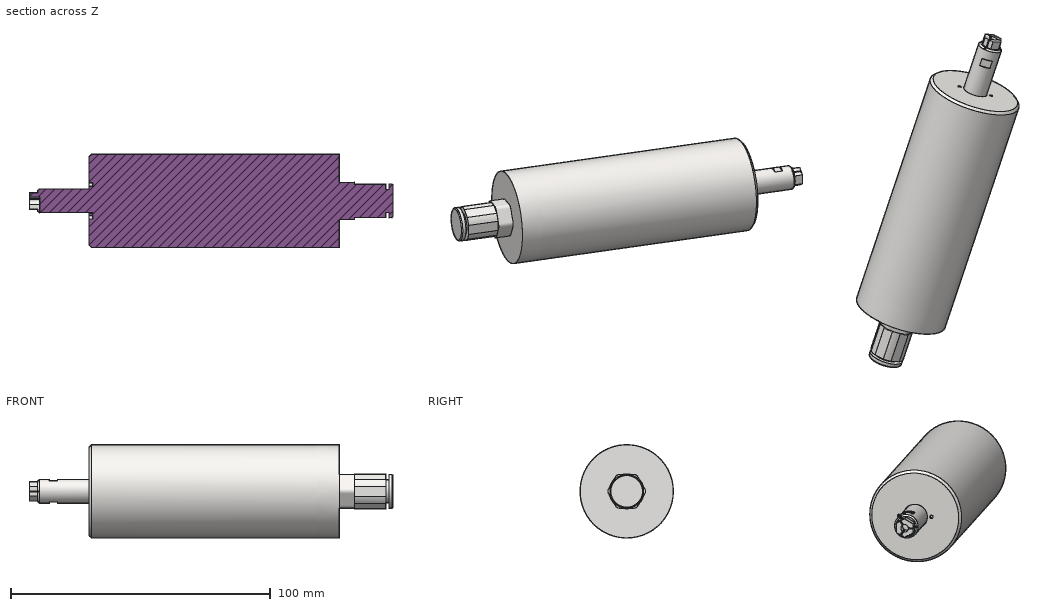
import cadquery as cq

SHAFT_START = 3.2
BODY_START = 23.0
CAP_START = 110.9
BODY_END = 119.5
NUT_END = 125.3
GRIP_END = 137.4
COLLAR_START = 138.5
TOTAL_LENGTH = 140.2

BODY_DIAMETER = 36.0
BODY_CHAMFER = 1.0
INSERT_DIAMETER = 16.7
INSERT_DEPTH = 4.2
SPANNER_HOLE_DIAMETER = 1.3
SPANNER_HOLE_DEPTH = 1.4
SPANNER_HOLE_OFFSET = 6.3
SHAFT_HOLE_DIAMETER = 9.5
SHAFT_HOLE_DEPTH = 1.4

SHAFT_DIAMETER = 9.3
SHAFT_TIP_DIAMETER = 8.0
SHAFT_TIP_LENGTH = 0.7
WRENCH_FLAT_START = 7.7
WRENCH_FLAT_LENGTH = 3.1
WRENCH_FLAT_GAP = 8.3

COLLET_ACROSS_FLATS = 6.5
COLLET_BORE_DIAMETER = 3.0
COLLET_SLIT_WIDTH = 0.4
COLLET_CUT_DEPTH = SHAFT_START + SHAFT_TIP_LENGTH
SLIT_COUNT = 3

NUT_ACROSS_FLATS = 13.0
NUT_CORNER_RADIUS = 1.8
GRIP_ACROSS_FLATS = 12.9
GRIP_DIAMETER = 13.5
NECK_DIAMETER = 9.0
COLLAR_DIAMETER = 13.0
COLLAR_CHAMFER = 0.4

HEX_SIDES = 6
HEX_CORNER_RATIO = 2 / 3 ** 0.5


def cylinder(start, end, diameter):
    """Round bar along X."""
    return cq.Workplane("YZ", origin=(start, 0, 0)).circle(diameter / 2).extrude(end - start)


def turn(shape, angle):
    """Turn a shape about the X axis."""
    return shape.rotate((0, 0, 0), (1, 0, 0), angle)


def hexagon(start, end, across_flats):
    """Hexagonal bar along X with two flats facing up and down."""
    plane = cq.Workplane("YZ", origin=(start, 0, 0))
    return plane.polygon(HEX_SIDES, across_flats * HEX_CORNER_RATIO).extrude(end - start)


def upright_hexagon(start, end, across_flats):
    """Hexagonal bar along X with two flats facing the sides."""
    return turn(hexagon(start, end, across_flats), 90)


def make_insert():
    """Flush front insert with two spanner holes and a clearance hole for the shaft."""
    insert = cylinder(BODY_START, BODY_START + INSERT_DEPTH, INSERT_DIAMETER)
    for side in (-1, 1):
        hole = cylinder(BODY_START, BODY_START + SPANNER_HOLE_DEPTH, SPANNER_HOLE_DIAMETER)
        insert = insert.cut(hole.translate((0, side * SPANNER_HOLE_OFFSET, 0)))
    return insert.cut(cylinder(BODY_START, BODY_START + SHAFT_HOLE_DEPTH, SHAFT_HOLE_DIAMETER))


def make_body():
    """Housing, rear cap and front insert; clean=False keeps the seams between them."""
    housing = cylinder(BODY_START, CAP_START, BODY_DIAMETER).faces("<X").chamfer(BODY_CHAMFER)
    housing = housing.cut(cylinder(BODY_START, BODY_START + INSERT_DEPTH, INSERT_DIAMETER))
    cap = cylinder(CAP_START, BODY_END, BODY_DIAMETER)
    return housing.union(cap, clean=False).union(make_insert(), clean=False)


def make_shaft():
    """Shaft with a conical tip and two wrench flats facing up and down."""
    cone = (
        cq.Workplane("YZ", origin=(SHAFT_START, 0, 0))
        .circle(SHAFT_TIP_DIAMETER / 2)
        .workplane(offset=SHAFT_TIP_LENGTH)
        .circle(SHAFT_DIAMETER / 2)
        .loft()
    )
    bar = cylinder(SHAFT_START + SHAFT_TIP_LENGTH, BODY_START + SHAFT_HOLE_DEPTH, SHAFT_DIAMETER)
    shaft = cone.union(bar)
    notch = cq.Workplane("XY").box(WRENCH_FLAT_LENGTH, SHAFT_DIAMETER, SHAFT_DIAMETER)
    notch_x = WRENCH_FLAT_START + WRENCH_FLAT_LENGTH / 2
    notch_z = (WRENCH_FLAT_GAP + SHAFT_DIAMETER) / 2
    for side in (-1, 1):
        shaft = shaft.cut(notch.translate((notch_x, 0, side * notch_z)))
    return shaft


def make_collet_cuts():
    """Central bore and radial slits, one of them pointing to -Y."""
    cuts = cylinder(0, COLLET_CUT_DEPTH, COLLET_BORE_DIAMETER)
    slit_length = SHAFT_DIAMETER / 2
    slit = cq.Workplane("XY").box(COLLET_CUT_DEPTH, slit_length, COLLET_SLIT_WIDTH)
    slit = slit.translate((COLLET_CUT_DEPTH / 2, -slit_length / 2, 0))
    for index in range(SLIT_COUNT):
        cuts = cuts.union(turn(slit, index * 360 / SLIT_COUNT))
    return cuts


def make_spindle():
    """Shaft with the slotted hexagonal collet nose on its end."""
    nose = upright_hexagon(0, SHAFT_START, COLLET_ACROSS_FLATS)
    return make_shaft().union(nose).cut(make_collet_cuts())


def make_fitting():
    """Nut with rounded corners, hexagonal grip turned to a round, neck and release collar."""
    nut = hexagon(BODY_END, NUT_END, NUT_ACROSS_FLATS).edges("|X").fillet(NUT_CORNER_RADIUS)
    grip = upright_hexagon(NUT_END, GRIP_END, GRIP_ACROSS_FLATS)
    grip = grip.intersect(cylinder(NUT_END, GRIP_END, GRIP_DIAMETER))
    neck = cylinder(GRIP_END, COLLAR_START, NECK_DIAMETER)
    collar = cylinder(COLLAR_START, TOTAL_LENGTH, COLLAR_DIAMETER)
    collar = collar.faces(">X").chamfer(COLLAR_CHAMFER)
    return nut.union(grip).union(neck).union(collar)


result = make_body().union(make_spindle(), clean=False).union(make_fitting(), clean=False)